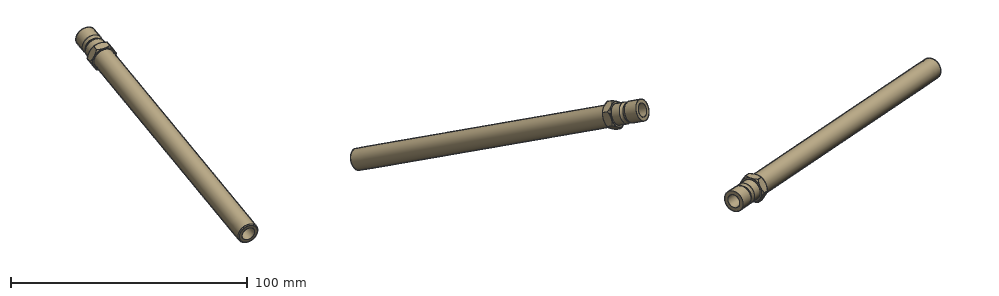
import cadquery as cq
import math

length = 150.0
tube_diameter = 9.6
neck_diameter = 9.5
bore_diameter = 6.0

groove_start = 6.0
groove_bottom = 7.4
groove_end = 8.7
groove_depth = 0.8

hex_start = 12.9
hex_width = 4.0
hex_step = 0.7
hex_chamfer_length = 0.8

taper_length = 7.2
taper_drop = 0.08
tip_chamfer = 0.5

tube_radius = tube_diameter / 2
neck_radius = neck_diameter / 2
flat_radius = tube_radius + hex_step
corner_radius = flat_radius / math.cos(math.pi / 6)
tip_radius = tube_radius - taper_drop


def revolve_about_x(outline):
    """Revolve a closed outline in the XY plane about the X axis."""
    return outline.revolve(360, (0, 0, 0), (1, 0, 0))


def make_tube():
    """Solid round body with the grooved neck, the tapered end and the tip chamfer."""
    arc_run = groove_end - groove_bottom
    arc_radius = (arc_run**2 + groove_depth**2) / (2 * groove_depth)
    outline = (
        cq.Workplane("XY")
        .lineTo(0, neck_radius)
        .lineTo(groove_start, neck_radius)
        .lineTo(groove_bottom, neck_radius - groove_depth)
        .radiusArc((groove_end, neck_radius), -arc_radius)
        .lineTo(hex_start, neck_radius)
        .lineTo(hex_start, tube_radius)
        .lineTo(length - taper_length, tube_radius)
        .lineTo(length - tip_chamfer, tip_radius)
        .lineTo(length, tip_radius - tip_chamfer)
        .lineTo(length, 0)
        .close()
    )
    return revolve_about_x(outline)


def make_hex_collar():
    """Hexagon with corners on the Y axis, its corners turned to a cone on both faces."""
    hexagon = (
        cq.Workplane("YZ", origin=(hex_start, 0, 0))
        .polygon(6, 2 * corner_radius)
        .extrude(hex_width)
    )
    hex_end = hex_start + hex_width
    cone_outline = cq.Workplane("XY").polyline([
        (hex_start, 0),
        (hex_start, flat_radius),
        (hex_start + hex_chamfer_length, corner_radius),
        (hex_end - hex_chamfer_length, corner_radius),
        (hex_end, flat_radius),
        (hex_end, 0),
    ]).close()
    return hexagon.intersect(revolve_about_x(cone_outline))


bore = cq.Workplane("YZ").circle(bore_diameter / 2).extrude(length)

result = make_tube().union(make_hex_collar()).cut(bore)